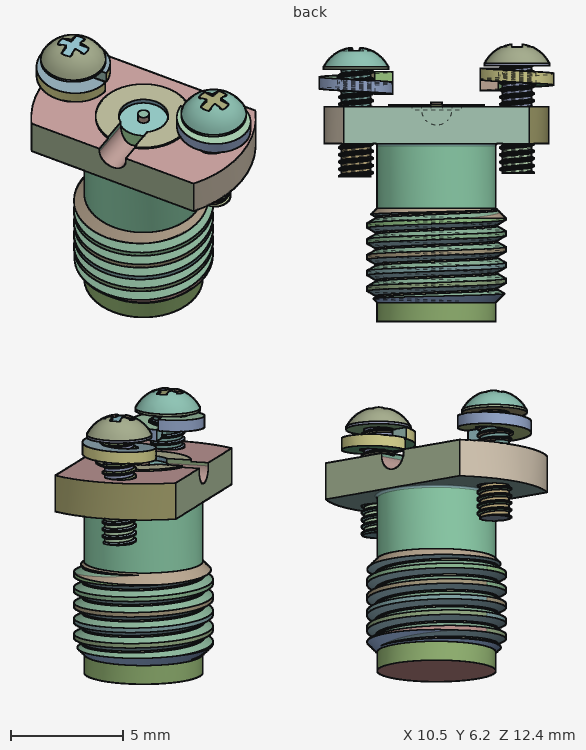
import cadquery as cq
import math


BARREL_DIAMETER = 5.3
COLLAR_DIAMETER = 6.2
COLLAR_BOTTOM = 0.85
COLLAR_TOP = 5.05
COLLAR_PITCH = 0.7
GROOVE_ROOT_DIAMETER = 5.46
GROOVE_ROOT_WIDTH = 0.07
COLLAR_GROOVE_START = 0.41
COLLAR_TURNS = 7

FLANGE_BOTTOM = 7.93
FLANGE_TOP = 9.57
FLANGE_DIAMETER = 10.0
FLANGE_WIDTH = 5.63
NECK_FILLET = 0.1
BOSS_DIAMETER = 4.26
BOSS_HEIGHT = 0.07
BOSS_TOP = FLANGE_TOP + BOSS_HEIGHT

RECESS_DIAMETER = 2.2
RECESS_FLOOR = 9.44
PIN_DIAMETER = 0.51
PIN_TOP = 9.76
CHANNEL_WIDTH = 1.35

SCREW_OFFSET = 3.58
SCREW_DROP = 0.16
SCREW_TURN = 172.0
SHANK_DIAMETER = 1.3
SHANK_BOTTOM = 6.61
SCREW_THREAD_DIAMETER = 1.52
SCREW_PITCH = 0.32
SCREW_GROOVE_ROOT_WIDTH = 0.15
SCREW_GROOVE_START = 6.3
SCREW_TURNS = 17
HEAD_BOTTOM = 11.39
HEAD_DIAMETER = 2.9
HEAD_RIM = 0.11
DOME_RADIUS = 1.63
CROSS_LENGTH = 1.43
CROSS_WIDTH = 0.46
CROSS_DEPTH = 0.16

WASHER_DIAMETER = 3.29
WASHER_HOLE = 1.68
WASHER_BOTTOM = 10.29
WASHER_THICKNESS = 0.52
WASHER_RISE = 0.48
WASHER_GAP = 0.04
WASHER_TURN = 180.0

THREAD_HALF_ANGLE = 30.0
SEAM_TURN = 77.0
OVERLAP = 0.06


def cylinder(diameter, bottom, top):
    return cq.Workplane("XY").workplane(offset=bottom).circle(diameter / 2).extrude(top - bottom)


def helical_sweep(profile_points, pitch, height, start, lefthand=False):
    """Solid swept upward by a profile of (radius, height) points that starts on +X and follows a helix."""
    rails = [
        cq.Wire.makeHelix(pitch, height, radius, lefthand=lefthand).translate(cq.Vector(0, 0, start + offset))
        for radius, offset in profile_points
    ]
    next_rails = rails[1:] + rails[:1]
    sides = [cq.Face.makeRuledSurface(rail, next_rail) for rail, next_rail in zip(rails, next_rails)]
    caps = []
    for end in (0, 1):
        corners = [rail.positionAt(end) for rail in rails]
        caps.append(cq.Face.makeFromWires(cq.Wire.makePolygon(corners, close=True)))
    return cq.Workplane(cq.Solid.makeSolid(cq.Shell.makeShell(sides + caps)))


def threaded_rod(diameter, root_diameter, root_width, pitch, start, turns):
    """Round bar along Z cut by a helical groove whose first turn starts on +X at the start height."""
    root = root_diameter / 2
    outside = diameter / 2 + OVERLAP
    half_root = root_width / 2
    half_mouth = half_root + (outside - root) * math.tan(math.radians(THREAD_HALF_ANGLE))
    profile = [
        (root, -half_root),
        (outside, -half_mouth),
        (outside, half_mouth),
        (root, half_root),
    ]
    groove = helical_sweep(profile, pitch, turns * pitch, start)
    rod = cylinder(diameter, start - pitch, start + (turns + 1) * pitch)
    return rod.cut(groove, clean=False)


def threaded_collar():
    inner = BARREL_DIAMETER / 2
    outer = COLLAR_DIAMETER / 2
    envelope = (
        cq.Workplane("XZ")
        .polyline([
            (0, COLLAR_BOTTOM),
            (inner, COLLAR_BOTTOM),
            (outer, COLLAR_BOTTOM + outer - inner),
            (outer, COLLAR_TOP - outer + inner),
            (inner, COLLAR_TOP),
            (0, COLLAR_TOP),
        ])
        .close()
        .revolve(360, (0, 0), (0, 1))
    )
    thread = threaded_rod(
        COLLAR_DIAMETER,
        GROOVE_ROOT_DIAMETER,
        GROOVE_ROOT_WIDTH,
        COLLAR_PITCH,
        COLLAR_GROOVE_START,
        COLLAR_TURNS,
    )
    return thread.intersect(envelope.rotate((0, 0, 0), (0, 0, 1), SEAM_TURN), clean=False)


def flange():
    plate = cylinder(FLANGE_DIAMETER, FLANGE_BOTTOM, FLANGE_TOP)
    thickness = FLANGE_TOP - FLANGE_BOTTOM
    middle = (FLANGE_TOP + FLANGE_BOTTOM) / 2
    flats = cq.Workplane("XY").box(FLANGE_DIAMETER, FLANGE_WIDTH, thickness).translate((0, 0, middle))
    return plate.intersect(flats)


def neck():
    """Concave fillet ring between the barrel and the underside of the flange."""
    radius = BARREL_DIAMETER / 2
    bottom = FLANGE_BOTTOM - NECK_FILLET
    arc_offset = NECK_FILLET * (1 - math.sqrt(0.5))
    arc_middle = (radius + arc_offset, FLANGE_BOTTOM - arc_offset)
    return (
        cq.Workplane("XZ")
        .moveTo(0, bottom)
        .lineTo(radius, bottom)
        .threePointArc(arc_middle, (radius + NECK_FILLET, FLANGE_BOTTOM))
        .lineTo(0, FLANGE_BOTTOM)
        .close()
        .revolve(360, (0, 0), (0, 1))
    )


def channel():
    """Round-bottomed channel from the insulator to the -Y edge of the flange."""
    half_width = CHANNEL_WIDTH / 2
    cutter = (
        cq.Workplane("XZ")
        .moveTo(-half_width, BOSS_TOP)
        .lineTo(-half_width, RECESS_FLOOR)
        .threePointArc((0, RECESS_FLOOR - half_width), (half_width, RECESS_FLOOR))
        .lineTo(half_width, BOSS_TOP)
        .close()
        .extrude(FLANGE_WIDTH / 2)
    )
    return cutter.cut(cylinder(RECESS_DIAMETER, FLANGE_BOTTOM, BOSS_TOP))


def screw_shank():
    thread = threaded_rod(
        SCREW_THREAD_DIAMETER,
        SHANK_DIAMETER,
        SCREW_GROOVE_ROOT_WIDTH,
        SCREW_PITCH,
        SCREW_GROOVE_START,
        SCREW_TURNS,
    )
    return thread.intersect(cylinder(HEAD_DIAMETER, SHANK_BOTTOM, HEAD_BOTTOM), clean=False)


def screw_head():
    radius = HEAD_DIAMETER / 2
    dome_base = HEAD_BOTTOM + HEAD_RIM
    dome_center = dome_base - math.sqrt(DOME_RADIUS**2 - radius**2)
    dome_top = dome_center + DOME_RADIUS
    dome = cq.Workplane("XY").sphere(DOME_RADIUS).translate((0, 0, dome_center))
    rim = cylinder(HEAD_DIAMETER, HEAD_BOTTOM, dome_base)
    cap = dome.intersect(cylinder(HEAD_DIAMETER, dome_base, dome_top))
    head = rim.union(cap)

    recess_floor = cq.Workplane("XY").workplane(offset=dome_top - CROSS_DEPTH)
    arm_along_x = recess_floor.rect(CROSS_LENGTH, CROSS_WIDTH).extrude(CROSS_DEPTH)
    arm_along_y = recess_floor.rect(CROSS_WIDTH, CROSS_LENGTH).extrude(CROSS_DEPTH)
    return head.cut(arm_along_x).cut(arm_along_y)


def screw():
    """Left screw, standing on the Z axis."""
    return screw_shank().union(screw_head(), clean=False)


def lock_washer():
    """Left split washer around the Z axis, a left-handed turn with its split on +X."""
    inner = WASHER_HOLE / 2
    outer = WASHER_DIAMETER / 2
    profile = [
        (inner, 0),
        (outer, 0),
        (outer, WASHER_THICKNESS),
        (inner, WASHER_THICKNESS),
    ]
    turn_fraction = 1 - WASHER_GAP / (math.pi * WASHER_HOLE)
    pitch = WASHER_RISE / turn_fraction
    return helical_sweep(profile, pitch, WASHER_RISE, WASHER_BOTTOM, lefthand=True)


def left_and_right(part, turn):
    """Copies of a part at the left and right screw positions; the right one is turned and lower."""
    placed = []
    for side, angle, drop in [(-1, 0, 0), (1, turn, SCREW_DROP)]:
        turned = part.rotate((0, 0, 0), (0, 0, 1), angle)
        placed.append(turned.translate((side * SCREW_OFFSET, 0, -drop)))
    return placed


def connector():
    body = cylinder(BARREL_DIAMETER, 0, FLANGE_BOTTOM)
    body = body.union(threaded_collar(), clean=False).union(neck()).union(flange())
    body = body.union(cylinder(BOSS_DIAMETER, FLANGE_TOP, BOSS_TOP))
    body = body.cut(cylinder(RECESS_DIAMETER, RECESS_FLOOR, BOSS_TOP)).cut(channel())
    body = body.union(cylinder(PIN_DIAMETER, RECESS_FLOOR, PIN_TOP))
    for placed_screw in left_and_right(screw(), SCREW_TURN):
        body = body.union(placed_screw, clean=False)
    return body


washers = left_and_right(lock_washer(), WASHER_TURN)
result = cq.Compound.makeCompound([connector().val(), *[washer.val() for washer in washers]])